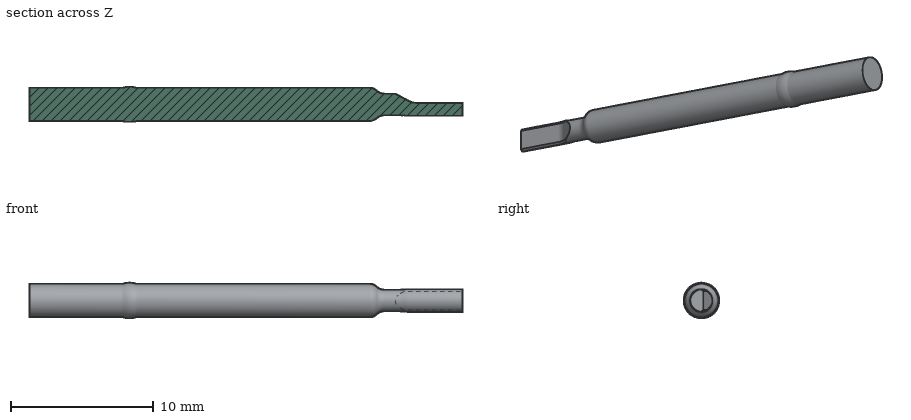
import cadquery as cq
import math

body_diameter = 2.36
band_diameter = 2.54
neck_diameter = 1.54
tail_diameter = 1.62

length = 30.48
band_start = 6.54
band_width = 1.0
shoulder_start = 23.98
shoulder_end = 24.98
flare_start = 26.08
flare_end = 26.64

flat_height = 0.12
ramp_angle = 28.0
ramp_end = 26.95
ramp_fillet = 1.0
flat_chamfer = 0.15

shoulder_split = 0.43
flare_split = 0.5

cutter_overrun = 1.0

cutter_end = length + cutter_overrun
body_radius = body_diameter / 2
band_radius = band_diameter / 2
neck_radius = neck_diameter / 2
tail_radius = tail_diameter / 2
band_end = band_start + band_width
band_middle = band_start + band_width / 2


def s_curve(profile, start, end, split):
    """Join two (x, radius) points by two tangent arcs that leave and arrive parallel to the axis."""
    joint = (
        start[0] + split * (end[0] - start[0]),
        start[1] + split * (end[1] - start[1]),
    )
    return (
        profile
        .tangentArcPoint(joint, relative=False)
        .tangentArcPoint(end, relative=False)
    )


def turned_pin():
    """Revolve the outer profile: body, crowned band, shoulder, neck and flare to the tail."""
    profile = (
        cq.Workplane("XZ")
        .lineTo(0, body_radius)
        .lineTo(band_start, body_radius)
        .threePointArc((band_middle, band_radius), (band_end, body_radius))
        .lineTo(shoulder_start, body_radius)
    )
    profile = s_curve(
        profile, (shoulder_start, body_radius), (shoulder_end, neck_radius), shoulder_split
    )
    profile = profile.lineTo(flare_start, neck_radius)
    profile = s_curve(
        profile, (flare_start, neck_radius), (flare_end, tail_radius), flare_split
    )
    profile = profile.lineTo(length, tail_radius).lineTo(length, 0).close()
    return profile.revolve(360, (0, 0, 0), (1, 0, 0))


def flat_profile(height):
    """Side outline of the space above the flat and its ramp, placed at the given Z."""
    slope = math.radians(ramp_angle)
    ramp_run = (band_radius - flat_height) / math.tan(slope)
    fillet_reach = ramp_fillet * math.tan(slope / 2)
    ramp_tangent_point = (
        ramp_end - fillet_reach * math.cos(slope),
        flat_height + fillet_reach * math.sin(slope),
    )
    return (
        cq.Workplane("XY", origin=(0, 0, height))
        .moveTo(cutter_end, band_radius)
        .lineTo(cutter_end, flat_height)
        .lineTo(ramp_end + fillet_reach, flat_height)
        .tangentArcPoint(ramp_tangent_point, relative=False)
        .lineTo(ramp_end - ramp_run, band_radius)
        .close()
    )


def cut_flat(pin):
    """Cut the ramped flat right through, then bevel its two long sides at 45 degrees."""
    pin = pin.cut(flat_profile(0).extrude(band_radius, both=True))
    bevel = flat_profile(tail_radius - flat_chamfer).extrude(2 * flat_chamfer, taper=-45)
    return pin.cut(bevel).cut(bevel.mirror("XY"))


result = cut_flat(turned_pin())